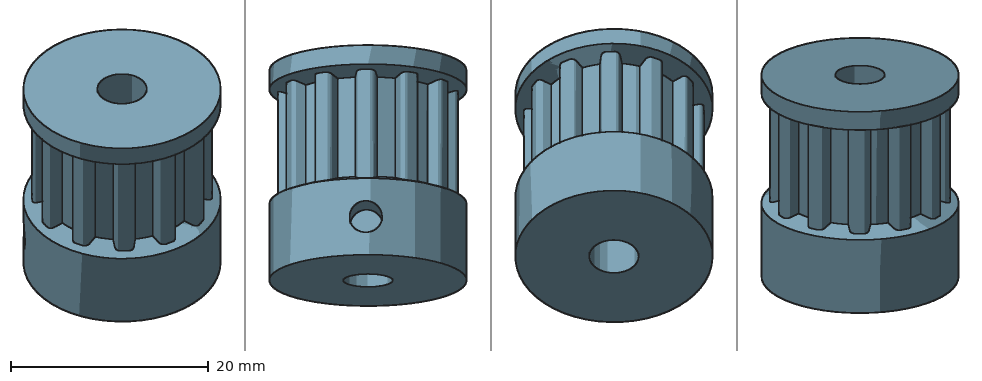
import cadquery as cq
import math

total_height = 22.0
outer_radius = 20.0 / 2
bore_diameter = 5.0

hub_height = 8.0
flange_thickness = 2.0
cone_angle = 20.0

tooth_count = 12
tip_radius = 18.25 / 2
groove_depth = 1.28
groove_floor_width = 1.85
flank_angle = 25.0
tip_fillet = 0.6

screw_diameter = 3.3
screw_depth = 3.5
screw_direction = 225.0
screw_height = hub_height / 2

root_radius = tip_radius - groove_depth
flange_bottom = total_height - flange_thickness
tooth_pitch_angle = 360.0 / tooth_count


def make_blank():
    """Revolved body with the belt section at root size."""
    cone_rise = (outer_radius - root_radius) * math.tan(math.radians(cone_angle))
    profile = [
        (0, 0),
        (outer_radius, 0),
        (outer_radius, hub_height),
        (root_radius, hub_height + cone_rise),
        (root_radius, flange_bottom - cone_rise),
        (outer_radius, flange_bottom),
        (outer_radius, total_height),
        (0, total_height),
    ]
    return cq.Workplane("XZ").polyline(profile).close().revolve(360, (0, 0), (0, 1))


def make_tooth():
    """One tooth on the +X axis, running from inside the hub to inside the flange."""
    half_floor = groove_floor_width / 2
    floor_angle = math.asin(half_floor / root_radius)
    flank = math.radians(flank_angle)
    half_pitch = math.radians(tooth_pitch_angle / 2)

    flank_offset = root_radius * math.sin(flank - floor_angle)
    tip_angle = flank - math.asin(flank_offset / tip_radius)

    def point(radius, angle):
        return radius * math.cos(angle), radius * math.sin(angle)

    root_half_angle = half_pitch - floor_angle
    tip_half_angle = half_pitch - tip_angle
    outline = (
        cq.Workplane("XY")
        .workplane(offset=hub_height)
        .lineTo(*point(root_radius, -root_half_angle))
        .lineTo(*point(tip_radius, -tip_half_angle))
        .threePointArc((tip_radius, 0), point(tip_radius, tip_half_angle))
        .lineTo(*point(root_radius, root_half_angle))
        .close()
    )
    tooth = outline.extrude(flange_bottom - hub_height)
    tip_edges = cq.selectors.BoxSelector(
        (root_radius + groove_depth / 2, -outer_radius, 0),
        (outer_radius, outer_radius, total_height),
    )
    return tooth.edges("|Z").edges(tip_edges).fillet(tip_fillet)


def add_teeth(body):
    tooth = make_tooth()
    for index in range(tooth_count):
        angle = (index + 0.5) * tooth_pitch_angle
        body = body.union(tooth.rotate((0, 0, 0), (0, 0, 1), angle))
    return body


def make_bore():
    return cq.Workplane("XY").circle(bore_diameter / 2).extrude(total_height)


def make_screw_hole():
    """Radial hole reaching inwards from the hub's outer surface."""
    hole = (
        cq.Workplane("YZ")
        .workplane(offset=outer_radius - screw_depth)
        .center(0, screw_height)
        .circle(screw_diameter / 2)
        .extrude(screw_depth)
    )
    return hole.rotate((0, 0, 0), (0, 0, 1), screw_direction)


result = add_teeth(make_blank()).cut(make_bore()).cut(make_screw_hole())